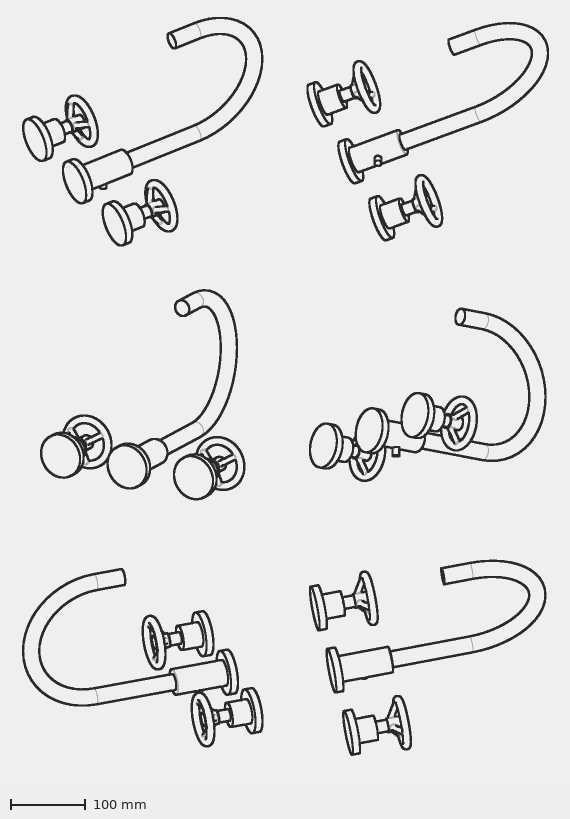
import cadquery as cq


flange_dia = 60.0
flange_thickness = 10.0

collar_dia = 35.2
collar_end = 81.0
collar_edge_round = 1.0
tube_dia = 22.0
bend_height = 181.0
spout_reach = 293.5
tip_y = 153.0
pin_dia = 9.5
pin_y = 45.0
pin_drop = 28.2

handle_spacing = 101.5
base_dia = 33.5
base_end = 37.5
stem_dia = 16.0
hub_dia = 18.8
hub_start = 54.0
hub_end = 74.0
wheel_dia = 73.0
rim_dia = 10.5
wheel_y = 74.0
spoke_dia = 8.0
spoke_axis_y = 54.5
spoke_start_radius = 6.0
spoke_count = 3
first_spoke_angle = 90
spoke_fillet = 1.5

bend_radius = bend_height / 2
bend_y = spout_reach - bend_radius - tube_dia / 2
rim_radius = (wheel_dia - rim_dia) / 2


def cylinder_along_y(diameter, y_start, y_end):
    """Cylinder on the Y axis between two Y positions."""
    return cq.Workplane(
        cq.Solid.makeCylinder(
            diameter / 2, y_end - y_start, cq.Vector(0, y_start, 0), cq.Vector(0, 1, 0)
        )
    )


def make_flange():
    return cylinder_along_y(flange_dia, 0, flange_thickness)


def make_tube():
    """Straight tube, half-turn bend upward, then a short straight outlet."""
    path = (
        cq.Workplane("YZ")
        .moveTo(flange_thickness, 0)
        .lineTo(bend_y, 0)
        .threePointArc((bend_y + bend_radius, bend_radius), (bend_y, bend_height))
        .lineTo(tip_y, bend_height)
    )
    section = cq.Workplane("XZ", origin=(0, flange_thickness, 0)).circle(tube_dia / 2)
    return section.sweep(path)


def make_spout():
    collar = cylinder_along_y(collar_dia, flange_thickness, collar_end)
    collar = collar.faces(">Y").edges().fillet(collar_edge_round)
    pin = cq.Workplane("XY", origin=(0, pin_y, -pin_drop)).circle(pin_dia / 2).extrude(pin_drop)
    return make_flange().union(collar).union(pin).union(make_tube())


def make_rim():
    """Round rim; its section sits at -X so that the closing seam lies on the inner side."""
    section = cq.Workplane("XY").center(-rim_radius, wheel_y).circle(rim_dia / 2)
    return section.revolve(360, (rim_radius, 0, 0), (rim_radius, 1, 0))


def make_spoke():
    """Sloping round spoke toward +X, from inside the hub to the centre of the rim."""
    rise_per_radius = (wheel_y - spoke_axis_y) / rim_radius
    start_y = spoke_axis_y + rise_per_radius * spoke_start_radius
    start = cq.Vector(spoke_start_radius, start_y, 0)
    run = cq.Vector(rim_radius, wheel_y, 0) - start
    return cq.Workplane(cq.Solid.makeCylinder(spoke_dia / 2, run.Length, start, run))


def make_wheel():
    """Hub, spokes and rim, rounded at both ends of every spoke."""
    wheel = cylinder_along_y(hub_dia, hub_start, hub_end)
    for index in range(spoke_count):
        angle = first_spoke_angle + index * 360 / spoke_count
        wheel = wheel.union(make_spoke().rotate((0, 0, 0), (0, 1, 0), angle))
    wheel = wheel.union(make_rim())
    return wheel.edges("%BSPLINE").fillet(spoke_fillet)


def make_handle():
    base = cylinder_along_y(base_dia, flange_thickness, base_end)
    stem = cylinder_along_y(stem_dia, base_end, hub_start)
    return make_flange().union(base).union(stem).union(make_wheel())


spout = make_spout()
handles = []
for side in (-1, 1):
    handles.append(make_handle().translate((side * handle_spacing, 0, 0)).val())

result = cq.Compound.makeCompound([spout.val(), *handles])